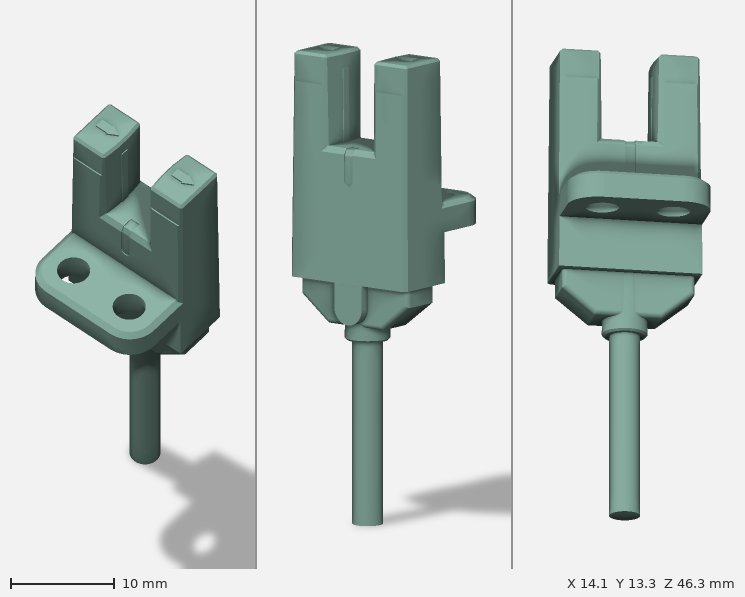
import cadquery as cq
import math

BODY_WIDTH = 14.13
BODY_DEPTH = 6.26
BODY_TOP = 22.16
DRAFT = 0.5
EDGE_CHAMFER = 0.35
TIP_CHAMFER = 0.27
TIP_STEP_Z = 19.22
TIP_STEP_DEPTH = 0.13

FLANGE_REACH = 13.26
FLANGE_BOTTOM = 5.0
FLANGE_TOP = 7.8
FLANGE_CORNER_RADIUS = 3.0
FLANGE_CHAMFER_HEIGHT = 0.42
FLANGE_CHAMFER_INSET = 0.58
HOLE_DIAMETER = 3.2
HOLE_SPACING = 7.0
HOLE_EDGE_DISTANCE = 3.5

SLOT_FLOOR = 13.25
SLOT_THROAT_HALF = 2.57
SLOT_BULGE = 0.28
SLOT_DRAFT = 0.7
SLOT_FLARE_DEPTH = 0.4
SLOT_FLARE_RISE = 0.56
SLOT_FLARE_HALF = 3.3

STRIP_WIDTH = 0.88
STRIP_TOP = 20.5
STRIP_PROUD = 0.08
STRIP_ROOT_DEPTH = 0.5

MARK_WIDTH = 1.04
MARK_LENGTH = 1.1
MARK_BOTTOM = 9.6
MARK_DEPTH = 0.12

ARROW_HEIGHT = 0.19
ARROW_LENGTH = 2.45
ARROW_HEAD_LENGTH = 1.1
ARROW_SHAFT_WIDTH = 0.95
ARROW_HEAD_WIDTH = 1.25
ARROW_CENTRE_X = 4.75
ARROW_SHIFT_X = 0.08
ARROW_CENTRE_Y = 0.08

HOUSING_HALF_WIDTH = 6.53
HOUSING_HALF_DEPTH = 2.12
HOUSING_SIDE_HEIGHT = 1.8
HOUSING_HEIGHT = 4.35
HOUSING_FOOT_HALF = 3.3
HOUSING_ROUND = 0.45
COLLAR_TOP_RADIUS = 2.17
COLLAR_BOTTOM = -5.85
COLLAR_CHAMFER = 0.2
BOSS_RADIUS = 1.65
BOSS_HEIGHT = 4.05
OVERALL_HEIGHT = 46.32
CABLE_DIAMETER = 3.0
CABLE_OFFSET_Y = -0.05
CABLE_BOTTOM = BODY_TOP + ARROW_HEIGHT - OVERALL_HEIGHT

HALF_DEPTH = BODY_DEPTH / 2
TAN_DRAFT = math.tan(math.radians(DRAFT))


def box(x_min, x_max, y_min, y_max, z_min, z_max):
    """Axis-aligned box from its limits."""
    size = (x_max - x_min, y_max - y_min, z_max - z_min)
    return cq.Workplane("XY").box(*size, centered=False).translate((x_min, y_min, z_min))


def drafted_block(height):
    """Body block on z = 0 whose four sides lean inwards."""
    return cq.Workplane("XY").rect(BODY_WIDTH, BODY_DEPTH).extrude(height, taper=DRAFT)


def make_body():
    """Block with chamfered upright edges; the front ones start at the flange chamfer."""
    upper = drafted_block(BODY_TOP).edges("not(#Z)").chamfer(EDGE_CHAMFER)
    base = drafted_block(FLANGE_TOP - FLANGE_CHAMFER_HEIGHT)
    base = base.edges("not(#Z)").edges(">Y").chamfer(EDGE_CHAMFER)
    body = upper.union(base)
    step_y = HALF_DEPTH - TIP_STEP_Z * TAN_DRAFT - TIP_STEP_DEPTH
    top_y = step_y - (BODY_TOP - TIP_STEP_Z) * TAN_DRAFT
    wedge_points = [(step_y, TIP_STEP_Z), (top_y, BODY_TOP), (BODY_DEPTH, BODY_TOP), (BODY_DEPTH, TIP_STEP_Z)]
    wedge = cq.Workplane("YZ").polyline(wedge_points).close().extrude(BODY_WIDTH / 2, both=True)
    return body.cut(wedge).cut(wedge.mirror("XZ"))


def make_flange():
    """Round-cornered plate in front of the body, its sides flush with the body, top edge chamfered."""
    width = BODY_WIDTH - 2 * FLANGE_BOTTOM * TAN_DRAFT
    front = HALF_DEPTH - FLANGE_REACH
    corner = width / 2 - FLANGE_CORNER_RADIUS
    plate = (
        cq.Workplane("XY").workplane(offset=FLANGE_BOTTOM)
        .moveTo(-width / 2, 0)
        .lineTo(-width / 2, front + FLANGE_CORNER_RADIUS)
        .radiusArc((-corner, front), -FLANGE_CORNER_RADIUS)
        .lineTo(corner, front)
        .radiusArc((width / 2, front + FLANGE_CORNER_RADIUS), -FLANGE_CORNER_RADIUS)
        .lineTo(width / 2, 0)
        .close()
        .extrude(FLANGE_TOP - FLANGE_BOTTOM, taper=DRAFT)
    )
    rim = plate.faces(">Z").edges("not(>Y)")
    return rim.chamfer(FLANGE_CHAMFER_HEIGHT, FLANGE_CHAMFER_INSET)


def cut_flange_holes(part):
    """Two through holes set the same distance back from the flange front."""
    hole_y = HALF_DEPTH - FLANGE_REACH + HOLE_EDGE_DISTANCE
    centres = [(-HOLE_SPACING / 2, hole_y), (HOLE_SPACING / 2, hole_y)]
    plane = cq.Workplane("XY").workplane(offset=FLANGE_BOTTOM)
    return part.cut(plane.pushPoints(centres).circle(HOLE_DIAMETER / 2).extrude(FLANGE_TOP - FLANGE_BOTTOM))


def make_slot():
    """Slot volume: the leg faces bulge towards each other and lean apart upwards."""
    mouth = SLOT_THROAT_HALF + SLOT_BULGE
    slot = (
        cq.Workplane("XY").workplane(offset=SLOT_FLOOR)
        .moveTo(-mouth, -HALF_DEPTH)
        .lineTo(mouth, -HALF_DEPTH)
        .threePointArc((SLOT_THROAT_HALF, 0), (mouth, HALF_DEPTH))
        .lineTo(-mouth, HALF_DEPTH)
        .threePointArc((-SLOT_THROAT_HALF, 0), (-mouth, -HALF_DEPTH))
        .close()
        .extrude(BODY_TOP - SLOT_FLOOR, taper=-SLOT_DRAFT)
    )
    flare = make_slot_flare()
    return slot.union(flare).union(flare.mirror("XZ"))


def make_slot_flare():
    """Wedge for the front bevel of the slot, running on past both edges of the bevel."""
    face_y = HALF_DEPTH - SLOT_FLOOR * TAN_DRAFT
    mouth = SLOT_THROAT_HALF + SLOT_BULGE
    spread = SLOT_FLARE_HALF - mouth
    outer_height = BODY_TOP - SLOT_FLOOR + 2 * SLOT_FLARE_RISE
    inner_height = BODY_TOP - SLOT_FLOOR - SLOT_FLARE_RISE
    return (
        cq.Workplane("XZ", origin=(0, -face_y - SLOT_FLARE_DEPTH, BODY_TOP))
        .center(0, -outer_height / 2)
        .rect(2 * (mouth + 2 * spread), outer_height)
        .workplane(offset=-3 * SLOT_FLARE_DEPTH)
        .center(0, (outer_height - inner_height) / 2)
        .rect(2 * (mouth - spread), inner_height)
        .loft(combine=True)
    )


def make_strip():
    """Upright strip standing slightly proud of the +X leg face, from the slot floor upwards."""
    lean = (STRIP_TOP - SLOT_FLOOR) * math.tan(math.radians(SLOT_DRAFT))
    foot_x = SLOT_THROAT_HALF - STRIP_PROUD
    root_x = SLOT_THROAT_HALF + STRIP_ROOT_DEPTH
    profile = [(foot_x, SLOT_FLOOR), (foot_x + lean, STRIP_TOP), (root_x, STRIP_TOP), (root_x, SLOT_FLOOR)]
    return cq.Workplane("XZ").polyline(profile).close().extrude(STRIP_WIDTH / 2, both=True)


def make_front_mark():
    """Shallow groove over the slot floor, its bevel and the front face, with a round lower end."""
    floor_face_y = -(HALF_DEPTH - SLOT_FLOOR * TAN_DRAFT)
    bevel_top_y = floor_face_y + SLOT_FLARE_DEPTH
    bevel_bottom_z = SLOT_FLOOR - SLOT_FLARE_RISE
    bevel_bottom_y = -(HALF_DEPTH - bevel_bottom_z * TAN_DRAFT)
    end_y = -(HALF_DEPTH - MARK_BOTTOM * TAN_DRAFT)
    inner_y = bevel_top_y + MARK_LENGTH
    profile = [
        (inner_y, SLOT_FLOOR - MARK_DEPTH),
        (bevel_top_y, SLOT_FLOOR - MARK_DEPTH),
        (bevel_bottom_y + MARK_DEPTH, bevel_bottom_z - MARK_DEPTH),
        (end_y + MARK_DEPTH, MARK_BOTTOM),
        (-BODY_DEPTH, MARK_BOTTOM),
        (-BODY_DEPTH, SLOT_FLOOR),
        (inner_y, SLOT_FLOOR),
    ]
    groove = cq.Workplane("YZ").polyline(profile).close().extrude(MARK_WIDTH / 2, both=True)
    end_z = MARK_BOTTOM + MARK_WIDTH / 2
    outline = (
        cq.Workplane("XZ", origin=(0, BODY_DEPTH, 0))
        .moveTo(-MARK_WIDTH / 2, SLOT_FLOOR)
        .lineTo(-MARK_WIDTH / 2, end_z)
        .threePointArc((0, MARK_BOTTOM), (MARK_WIDTH / 2, end_z))
        .lineTo(MARK_WIDTH / 2, SLOT_FLOOR)
        .close()
        .extrude(2 * BODY_DEPTH)
    )
    return groove.intersect(outline)


def make_arrow(centre_x):
    """Raised arrow pointing to +X."""
    tail = -ARROW_LENGTH / 2
    neck = ARROW_LENGTH / 2 - ARROW_HEAD_LENGTH
    shaft = ARROW_SHAFT_WIDTH / 2
    head = ARROW_HEAD_WIDTH / 2
    upper = [(neck, head), (neck, shaft), (tail, shaft)]
    lower = [(tail, -shaft), (neck, -shaft), (neck, -head)]
    plane = cq.Workplane("XY", origin=(centre_x, ARROW_CENTRE_Y, BODY_TOP))
    return plane.polyline([(ARROW_LENGTH / 2, 0)] + upper + lower).close().extrude(ARROW_HEIGHT)


def make_housing():
    """Cable entry: rounded hull, collar, cable and the boss at the back."""
    outline = [
        (-HOUSING_HALF_WIDTH, 0),
        (-HOUSING_HALF_WIDTH, -HOUSING_SIDE_HEIGHT),
        (-HOUSING_FOOT_HALF, -HOUSING_HEIGHT),
        (HOUSING_FOOT_HALF, -HOUSING_HEIGHT),
        (HOUSING_HALF_WIDTH, -HOUSING_SIDE_HEIGHT),
        (HOUSING_HALF_WIDTH, 0),
    ]
    hull = cq.Workplane("XZ").polyline(outline).close().extrude(HOUSING_HALF_DEPTH, both=True)
    hull = hull.edges("<Y or >Y").edges("not(>Z)").fillet(HOUSING_ROUND)
    collar_radius = COLLAR_TOP_RADIUS - COLLAR_BOTTOM * TAN_DRAFT
    collar_profile = [
        (0, 0),
        (COLLAR_TOP_RADIUS, 0),
        (collar_radius, COLLAR_BOTTOM + COLLAR_CHAMFER),
        (collar_radius - COLLAR_CHAMFER, COLLAR_BOTTOM),
        (0, COLLAR_BOTTOM),
    ]
    collar = cq.Workplane("XZ").polyline(collar_profile).close().revolve(360, (0, 0, 0), (0, 1, 0))
    cable = cq.Workplane("XY").circle(CABLE_DIAMETER / 2).extrude(CABLE_BOTTOM)
    boss_axis = BOSS_RADIUS - BOSS_HEIGHT
    boss = box(-BOSS_RADIUS, BOSS_RADIUS, 0, HALF_DEPTH, boss_axis, 0)
    boss_end = cq.Workplane("XZ", origin=(0, 0, boss_axis)).circle(BOSS_RADIUS).extrude(-HALF_DEPTH)
    return hull.union(collar).union(cable).union(boss).union(boss_end)


body = make_body().cut(make_slot())
mark = make_front_mark()
body = body.cut(mark).cut(mark.mirror("XZ"))
body = body.faces(">Z").chamfer(TIP_CHAMFER)
strip = make_strip()
body = body.union(strip).union(strip.mirror("YZ"))
part = body.union(make_flange())
part = cut_flange_holes(part)
for leg_x in (-ARROW_CENTRE_X, ARROW_CENTRE_X):
    part = part.union(make_arrow(leg_x + ARROW_SHIFT_X))
result = part.union(make_housing().translate((0, CABLE_OFFSET_Y, 0)))